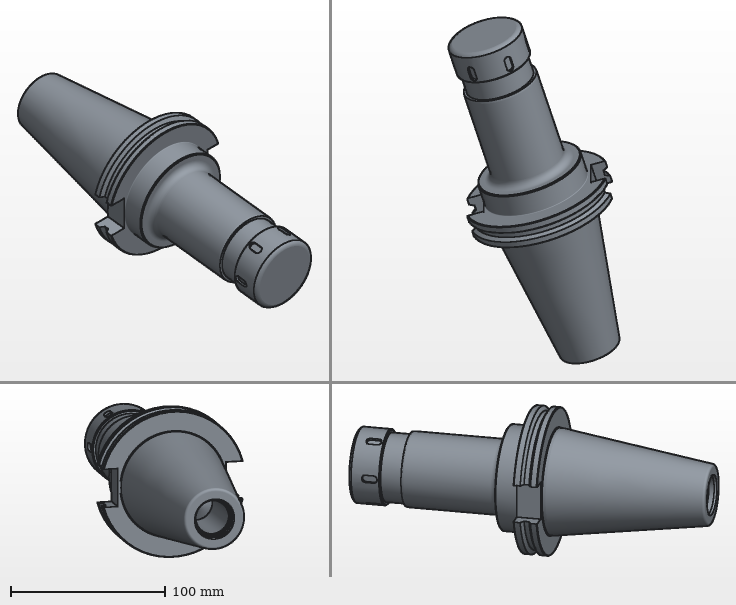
import cadquery as cq
import math


TAPER_LENGTH = 102.3
GAGE_DIAMETER = 70.0
TAPER_RATIO = 7 / 24
SHANK_END_ROUND = 2.0
SHANK_END_DIAMETER = GAGE_DIAMETER - TAPER_LENGTH * TAPER_RATIO

ENTRY_DIAMETER = 25.0
ENTRY_DEPTH = 5.2
ENTRY_CHAMFER_HEIGHT = 0.7
ENTRY_CHAMFER_LENGTH = 1.7
STEP_CONE_SIZE = 0.7
THREAD_HOLE_DIAMETER = 22.0
THREAD_HOLE_DEPTH = 47.4
FLOOR_CONE_ANGLE = 118.0

FLANGE_START = 105.1
FLANGE_WIDTH = 15.9
FLANGE_END = FLANGE_START + FLANGE_WIDTH
FLANGE_DIAMETER = 97.0
FLANGE_EDGE_CHAMFER = 0.5
FLANGE_FOOT_FILLET = 0.5

GROOVE_CENTRE = 113.0
GROOVE_DEPTH = 3.0
GROOVE_BOTTOM_WIDTH = 3.3
GROOVE_FLANK_ANGLE = 30.0

DRIVE_SLOT_WIDTH = 25.3
FRONT_SLOT_FLOOR = 35.5
BACK_SLOT_FLOOR = 37.2

COLLAR_DIAMETER = 69.8
COLLAR_END = 136.4
COLLAR_CHAMFER = 0.7
BODY_DIAMETER = 49.7
BODY_END = 201.5
BODY_FILLET = 5.0
BODY_CHAMFER_LENGTH = 1.7
BODY_CHAMFER_HEIGHT = 0.2
NECK_DIAMETER = 45.5

NUT_START = 215.5
NUT_END = 236.8
NUT_FACE_DIAMETER = 43.5
NUT_DIAMETER = 50.0
NUT_BACK_CHAMFER = 0.7
NUT_CROWN_START = 234.6
NUT_CROWN_MIDDLE_X = 236.0
NUT_CROWN_MIDDLE_RADIUS = 23.7
WRENCH_SLOT_COUNT = 6
WRENCH_SLOT_START = 217.4
WRENCH_SLOT_LENGTH = 10.2
WRENCH_SLOT_WIDTH = 5.0
WRENCH_SLOT_DEPTH = 2.0


def revolve_about_x(profile):
    return profile.close().revolve(360, (0, 0, 0), (1, 0, 0))


def cylinder(start, end, diameter):
    return cq.Workplane("YZ", origin=(start, 0, 0)).circle(diameter / 2).extrude(end - start)


def taper_shank():
    cone = revolve_about_x(
        cq.Workplane("XY")
        .lineTo(0, SHANK_END_DIAMETER / 2)
        .lineTo(TAPER_LENGTH, GAGE_DIAMETER / 2)
        .lineTo(TAPER_LENGTH, 0)
    )
    cone = cone.faces("<X").edges().fillet(SHANK_END_ROUND)
    return cone.union(cylinder(TAPER_LENGTH, FLANGE_START, GAGE_DIAMETER))


def foot_fillet(face, root_diameter, side):
    """Ring that rounds the corner between a flange face and the cylinder leaving it towards side."""
    root = root_diameter / 2
    size = FLANGE_FOOT_FILLET
    middle = size * (1 - math.sqrt(0.5))
    return revolve_about_x(
        cq.Workplane("XY")
        .moveTo(face, root - size)
        .lineTo(face, root + size)
        .threePointArc((face + side * middle, root + middle), (face + side * size, root))
        .lineTo(face + side * size, root - size)
    )


def drawbar_hole():
    entry_radius = ENTRY_DIAMETER / 2
    hole_radius = THREAD_HOLE_DIAMETER / 2
    cone_height = hole_radius / math.tan(math.radians(FLOOR_CONE_ANGLE / 2))
    return revolve_about_x(
        cq.Workplane("XY")
        .lineTo(0, entry_radius + ENTRY_CHAMFER_HEIGHT)
        .lineTo(ENTRY_CHAMFER_LENGTH, entry_radius)
        .lineTo(ENTRY_DEPTH, entry_radius)
        .lineTo(ENTRY_DEPTH + STEP_CONE_SIZE, entry_radius - STEP_CONE_SIZE)
        .lineTo(ENTRY_DEPTH + STEP_CONE_SIZE, hole_radius)
        .lineTo(THREAD_HOLE_DEPTH, hole_radius)
        .lineTo(THREAD_HOLE_DEPTH - cone_height, 0)
    )


def flange_groove():
    outer_radius = FLANGE_DIAMETER / 2
    bottom_radius = outer_radius - GROOVE_DEPTH
    half_bottom = GROOVE_BOTTOM_WIDTH / 2
    half_top = half_bottom + GROOVE_DEPTH * math.tan(math.radians(GROOVE_FLANK_ANGLE))
    return revolve_about_x(
        cq.Workplane("XY")
        .moveTo(GROOVE_CENTRE - half_top, outer_radius)
        .lineTo(GROOVE_CENTRE - half_bottom, bottom_radius)
        .lineTo(GROOVE_CENTRE + half_bottom, bottom_radius)
        .lineTo(GROOVE_CENTRE + half_top, outer_radius)
    )


def drive_slot(floor, side):
    """Slot cut inward to the given floor distance; side is -1 for -Y and +1 for +Y."""
    depth = FLANGE_DIAMETER / 2 - floor
    return cq.Workplane("XY").box(FLANGE_WIDTH, depth, DRIVE_SLOT_WIDTH).translate(
        (FLANGE_START + FLANGE_WIDTH / 2, side * (floor + depth / 2), 0)
    )


def gripper_flange():
    flange = cylinder(FLANGE_START, FLANGE_END, FLANGE_DIAMETER)
    flange = flange.edges().chamfer(FLANGE_EDGE_CHAMFER)
    flange = flange.cut(flange_groove())
    flange = flange.cut(drive_slot(FRONT_SLOT_FLOOR, -1))
    return flange.cut(drive_slot(BACK_SLOT_FLOOR, 1))


def collar_body_and_neck():
    collar_radius = COLLAR_DIAMETER / 2
    body_radius = BODY_DIAMETER / 2
    neck_radius = NECK_DIAMETER / 2
    fillet_middle = BODY_FILLET * (1 - math.sqrt(0.5))
    return revolve_about_x(
        cq.Workplane("XY")
        .moveTo(FLANGE_END, 0)
        .lineTo(FLANGE_END, collar_radius)
        .lineTo(COLLAR_END - COLLAR_CHAMFER, collar_radius)
        .lineTo(COLLAR_END, collar_radius - COLLAR_CHAMFER)
        .lineTo(COLLAR_END, body_radius + BODY_FILLET)
        .threePointArc(
            (COLLAR_END + fillet_middle, body_radius + fillet_middle),
            (COLLAR_END + BODY_FILLET, body_radius),
        )
        .lineTo(BODY_END - BODY_CHAMFER_LENGTH, body_radius)
        .lineTo(BODY_END, body_radius - BODY_CHAMFER_HEIGHT)
        .lineTo(BODY_END, neck_radius)
        .lineTo(NUT_START, neck_radius)
        .lineTo(NUT_START, 0)
    )


def tool_holder():
    holder = taper_shank().union(gripper_flange()).union(collar_body_and_neck())
    holder = holder.union(foot_fillet(FLANGE_START, GAGE_DIAMETER, -1))
    holder = holder.union(foot_fillet(FLANGE_END, COLLAR_DIAMETER, 1))
    return holder.cut(drawbar_hole())


def wrench_slot(angle):
    floor = NUT_DIAMETER / 2 - WRENCH_SLOT_DEPTH
    centre = WRENCH_SLOT_START + WRENCH_SLOT_LENGTH / 2
    slot = (
        cq.Workplane("XY", origin=(centre, 0, floor))
        .slot2D(WRENCH_SLOT_LENGTH, WRENCH_SLOT_WIDTH)
        .extrude(2 * WRENCH_SLOT_DEPTH)
    )
    return slot.rotate((0, 0, 0), (1, 0, 0), angle)


def clamping_nut():
    radius = NUT_DIAMETER / 2
    nut = revolve_about_x(
        cq.Workplane("XY")
        .moveTo(NUT_START, 0)
        .lineTo(NUT_START, radius - NUT_BACK_CHAMFER)
        .lineTo(NUT_START + NUT_BACK_CHAMFER, radius)
        .lineTo(NUT_CROWN_START, radius)
        .threePointArc((NUT_CROWN_MIDDLE_X, NUT_CROWN_MIDDLE_RADIUS), (NUT_END, NUT_FACE_DIAMETER / 2))
        .lineTo(NUT_END, 0)
    )
    spacing = 360 / WRENCH_SLOT_COUNT
    for index in range(WRENCH_SLOT_COUNT):
        nut = nut.cut(wrench_slot((index + 0.5) * spacing))
    return nut


holder = tool_holder()
nut = clamping_nut()
result = cq.Compound.makeCompound([holder.val(), nut.val()])